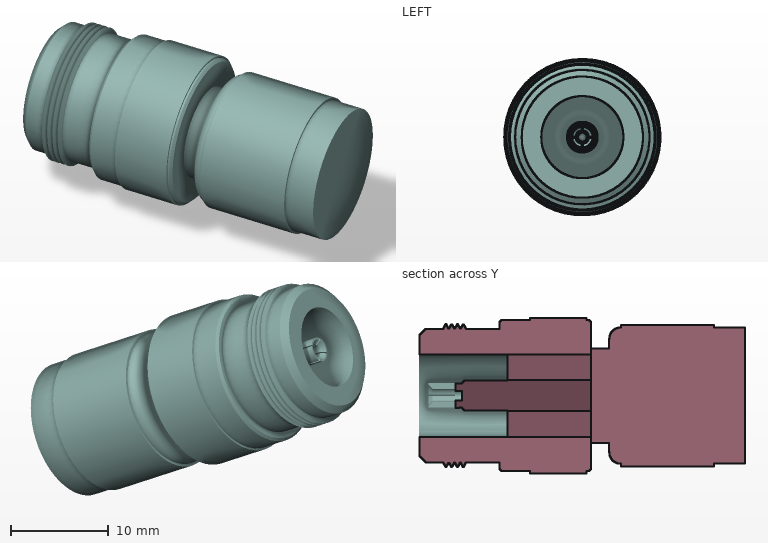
import cadquery as cq

LENGTH = 33.3

NOSE_RADIUS = 6.85
NOSE_CHAMFER = 0.65
THREAD_START = 2.43
THREAD_LENGTH = 2.35
THREAD_COUNT = 4
THREAD_PITCH = THREAD_LENGTH / THREAD_COUNT
THREAD_CREST_RADIUS = 7.4
SHOULDER_START = 8.15
SHOULDER_RADIUS = 7.75
SHOULDER_CHAMFER = 0.25
HOUSING_BAND_START = 11.3
HOUSING_BAND_END = 17.12
HOUSING_BAND_DIAMETER = 15.95
HOUSING_BAND_RADIUS = HOUSING_BAND_DIAMETER / 2
HOUSING_END = 17.6

BORE_RADIUS = 4.2
INSULATOR_FRONT = 9.0

PIN_TIP = 1.0
PIN_TIP_RADIUS = 1.25
PIN_TAPER_START = 4.33
PIN_TAPER_RADIUS = 1.45
PIN_BASE_RADIUS = 1.55
PIN_MOUTH_RADIUS = 1.05
PIN_SOCKET_RADIUS = 0.65
PIN_SOCKET_DEPTH = 2.65
PIN_PILOT_RADIUS = 0.45
PIN_PILOT_DEPTH = 3.33
PIN_SLOT_WIDTH = 0.13
PIN_SLOT_DEPTH = 2.65

NECK_RADIUS = 4.85
SHELL_START = 19.4
SHELL_RADIUS = 7.0
SHELL_FILLET = 1.2
SHELL_BAND_START = SHELL_START + SHELL_FILLET
SHELL_BAND_END = 30.15
SHELL_BAND_RADIUS = 7.25


def cylinder(radius, start, end):
    """Solid cylinder about the X axis."""
    return cq.Workplane("YZ", origin=(start, 0, 0)).circle(radius).extrude(end - start)


def revolve_about_x(points):
    """Solid of revolution about the X axis from (x, radius) corner points."""
    return cq.Workplane("XY").polyline(points).close().revolve(360, (0, 0, 0), (1, 0, 0))


def make_thread():
    """Row of V-shaped ridges, revolved about the X axis."""
    points = [(THREAD_START, BORE_RADIUS), (THREAD_START, NOSE_RADIUS)]
    for ridge in range(THREAD_COUNT):
        ridge_start = THREAD_START + ridge * THREAD_PITCH
        points.append((ridge_start + THREAD_PITCH / 2, THREAD_CREST_RADIUS))
        points.append((ridge_start + THREAD_PITCH, NOSE_RADIUS))
    points.append((THREAD_START + THREAD_LENGTH, BORE_RADIUS))
    return revolve_about_x(points)


def make_housing():
    """Threaded nose and banded shoulder with a bore right through."""
    nose = cylinder(NOSE_RADIUS, 0, HOUSING_END).faces("<X").chamfer(NOSE_CHAMFER)
    shoulder = cylinder(SHOULDER_RADIUS, SHOULDER_START, HOUSING_END)
    shoulder = shoulder.faces("<X or >X").chamfer(SHOULDER_CHAMFER)
    band = cylinder(HOUSING_BAND_RADIUS, HOUSING_BAND_START, HOUSING_BAND_END)
    bore = cylinder(BORE_RADIUS, 0, HOUSING_END)
    return nose.union(make_thread()).union(shoulder).union(band).cut(bore)


def make_insulator():
    """Disc that fills the back of the bore, with a hole for the pin."""
    disc = cylinder(BORE_RADIUS, INSULATOR_FRONT, HOUSING_END)
    return disc.cut(cylinder(PIN_BASE_RADIUS, INSULATOR_FRONT, HOUSING_END))


def make_pin_rod():
    """Slim tip that tapers out and steps up to the thicker base."""
    taper_end = PIN_TAPER_START + PIN_TAPER_RADIUS - PIN_TIP_RADIUS
    return revolve_about_x([
        (PIN_TIP, 0),
        (PIN_TIP, PIN_TIP_RADIUS),
        (PIN_TAPER_START, PIN_TIP_RADIUS),
        (taper_end, PIN_TAPER_RADIUS),
        (taper_end, PIN_BASE_RADIUS),
        (HOUSING_END, PIN_BASE_RADIUS),
        (HOUSING_END, 0),
    ])


def make_pin_socket():
    """Funnel mouth, socket bore and narrower pilot bore in the pin tip."""
    funnel_end = PIN_TIP + PIN_MOUTH_RADIUS - PIN_SOCKET_RADIUS
    socket_end = PIN_TIP + PIN_SOCKET_DEPTH
    pilot_end = PIN_TIP + PIN_PILOT_DEPTH
    return revolve_about_x([
        (PIN_TIP, 0),
        (PIN_TIP, PIN_MOUTH_RADIUS),
        (funnel_end, PIN_SOCKET_RADIUS),
        (socket_end, PIN_SOCKET_RADIUS),
        (socket_end, PIN_PILOT_RADIUS),
        (pilot_end, PIN_PILOT_RADIUS),
        (pilot_end, 0),
    ])


def make_pin():
    """Contact pin with a socket and two crossed slots in its tip."""
    pin = make_pin_rod().cut(make_pin_socket())
    slot = cq.Workplane("XY").box(PIN_SLOT_DEPTH, 2 * PIN_BASE_RADIUS, PIN_SLOT_WIDTH)
    slot = slot.translate((PIN_TIP + PIN_SLOT_DEPTH / 2, 0, 0))
    for angle in (0, 90):
        pin = pin.cut(slot.rotate((0, 0, 0), (1, 0, 0), angle))
    return pin


def make_plug():
    """Neck that abuts the housing, and a shell with a rounded front and a raised band."""
    neck = cylinder(NECK_RADIUS, HOUSING_END, SHELL_START)
    shell = cylinder(SHELL_RADIUS, SHELL_START, LENGTH).faces("<X").edges().fillet(SHELL_FILLET)
    band = cylinder(SHELL_BAND_RADIUS, SHELL_BAND_START, SHELL_BAND_END)
    return neck.union(shell).union(band)


housing = make_housing()
insulator = make_insulator()
pin = make_pin()
plug = make_plug()

result = cq.Compound.makeCompound([housing.val(), insulator.val(), pin.val(), plug.val()])